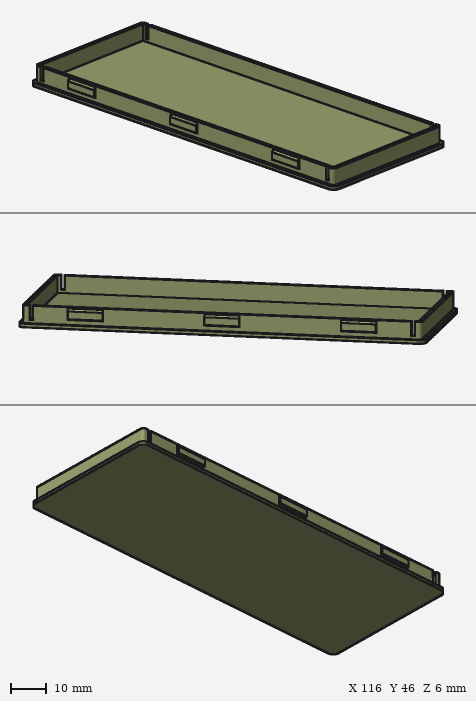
import cadquery as cq

length = 116.0
width = 46.0
height = 6.0

base_thickness = 1.0
base_corner_radius = 2.0
rim_inset = 1.0
rim_thickness = 1.0
rim_corner_radius = base_corner_radius - rim_inset

rim_length = length - 2 * rim_inset
rim_width = width - 2 * rim_inset
rim_height = height - base_thickness

slot_width = 1.0
slot_end_distance = 3.0
slot_floor = 2.0

ridge_length = 10.0
ridge_pitch = 39.0
ridge_projection = 0.7
ridge_top = 5.7
ridge_bottom = 2.4
ridge_upper_slope = 0.7
ridge_lower_slope = 0.3


def make_base():
    plate = cq.Workplane("XY").box(length, width, base_thickness, centered=(True, True, False))
    return plate.edges("|Z").fillet(base_corner_radius)


def make_rim():
    outer = (
        cq.Workplane("XY", origin=(0, 0, base_thickness))
        .box(rim_length, rim_width, rim_height, centered=(True, True, False))
        .edges("|Z")
        .fillet(rim_corner_radius)
    )
    cavity = cq.Workplane("XY", origin=(0, 0, base_thickness)).box(
        rim_length - 2 * rim_thickness,
        rim_width - 2 * rim_thickness,
        rim_height,
        centered=(True, True, False),
    )
    return outer.cut(cavity)


def make_slots():
    """Cutters running across the full width, one near each end."""
    slot_x = length / 2 - slot_end_distance - slot_width / 2
    return (
        cq.Workplane("XY", origin=(0, 0, slot_floor))
        .pushPoints([(-slot_x, 0), (slot_x, 0)])
        .box(slot_width, width, height - slot_floor, centered=(True, True, False))
    )


def make_ridge(center_x, side):
    """Ridge with sloped upper and lower faces; side is -1 or 1 along Y."""
    wall_y = side * rim_width / 2
    root_y = wall_y - side * rim_thickness / 2
    crest_y = wall_y + side * ridge_projection
    return (
        cq.Workplane("YZ", origin=(center_x - ridge_length / 2, 0, 0))
        .moveTo(root_y, ridge_bottom)
        .lineTo(wall_y, ridge_bottom)
        .lineTo(crest_y, ridge_bottom + ridge_lower_slope)
        .lineTo(crest_y, ridge_top - ridge_upper_slope)
        .lineTo(wall_y, ridge_top)
        .lineTo(root_y, ridge_top)
        .close()
        .extrude(ridge_length)
    )


result = make_base().union(make_rim()).cut(make_slots())
for side in (-1, 1):
    for center_x in (-ridge_pitch, 0, ridge_pitch):
        result = result.union(make_ridge(center_x, side))